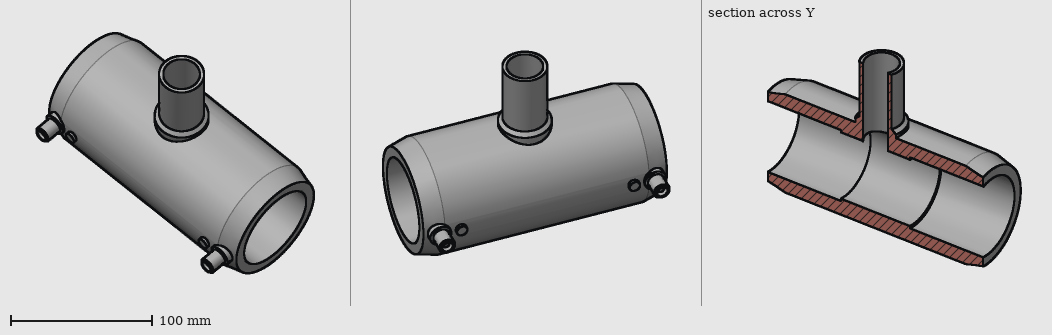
import cadquery as cq
import math

body_length = 185.5
body_diameter = 87.0
taper_length = 15.0
taper_angle = 15.0

socket_diameter = 63.0
stop_diameter = 59.22
socket_depth = 63.0

branch_top_z = 96.5
branch_diameter = 32.0
branch_bore_diameter = 26.0
saddle_diameter = 38.4
saddle_shoulder_z = 46.0

terminal_x = 81.75
collar_diameter = 16.0
collar_height = 1.75
collar_rise = 0.5
terminal_diameter = 12.0
terminal_height = 15.0
terminal_chamfer = 1.0
terminal_hole_diameter = 8.0
terminal_hole_depth = 12.0
contact_diameter = 5.0
contact_recess = 2.5
contact_chamfer = 0.5
indicator_x = 65.75
indicator_diameter = 8.0
indicator_height = 2.5

body_radius = body_diameter / 2
socket_radius = socket_diameter / 2
root_radius = (body_radius + socket_radius) / 2


def make_sleeve():
    """Solid sleeve with a conical taper at both ends."""
    half_length = body_length / 2
    straight_half = half_length - taper_length
    end_radius = body_radius - taper_length * math.tan(math.radians(taper_angle))
    profile = [
        (-half_length, 0),
        (-half_length, end_radius),
        (-straight_half, body_radius),
        (straight_half, body_radius),
        (half_length, end_radius),
        (half_length, 0),
    ]
    return cq.Workplane("XY").polyline(profile).close().revolve(360, (0, 0, 0), (1, 0, 0))


def make_sleeve_bore():
    """Through bore at the stop diameter, widened to a socket at each end."""
    bore = cq.Workplane("YZ").circle(stop_diameter / 2).extrude(body_length / 2, both=True)
    for face_x, direction in ((-body_length / 2, 1), (body_length / 2, -1)):
        socket = (
            cq.Workplane("YZ", origin=(face_x, 0, 0))
            .circle(socket_radius)
            .extrude(direction * socket_depth)
        )
        bore = bore.union(socket)
    return bore


def make_branch():
    """Branch pipe rising from a wider saddle with a 45 degree shoulder."""
    saddle_radius = saddle_diameter / 2
    branch_radius = branch_diameter / 2
    shoulder_top_z = saddle_shoulder_z + saddle_radius - branch_radius
    profile = [
        (0, 0),
        (saddle_radius, 0),
        (saddle_radius, saddle_shoulder_z),
        (branch_radius, shoulder_top_z),
        (branch_radius, branch_top_z),
        (0, branch_top_z),
    ]
    return cq.Workplane("XZ").polyline(profile).close().revolve(360, (0, 0, 0), (0, 1, 0))


def make_branch_bore():
    """Hole down the branch, opening into the sleeve bore."""
    return cq.Workplane("XY").circle(branch_bore_diameter / 2).extrude(branch_top_z)


def pin(x, diameter, start_radius, end_radius):
    """Cylinder along -Y between two distances from the sleeve axis."""
    return (
        cq.Workplane("XZ", origin=(x, -start_radius, 0))
        .circle(diameter / 2)
        .extrude(end_radius - start_radius)
    )


def make_collar(x):
    """Round collar whose outer face is a shallow cone rising from its rim to the terminal."""
    rim = body_radius + collar_height
    profile = [
        (0, -root_radius),
        (collar_diameter / 2, -root_radius),
        (collar_diameter / 2, -rim),
        (terminal_diameter / 2, -rim - collar_rise),
        (0, -rim - collar_rise),
    ]
    collar = cq.Workplane("XY").polyline(profile).close().revolve(360, (0, 0, 0), (0, 1, 0))
    return collar.translate((x, 0, 0))


def make_terminal(x):
    """Hollow terminal with a recessed contact pin, rising from a collar."""
    tip = body_radius + terminal_height
    hole_floor = tip - terminal_hole_depth
    shell = pin(x, terminal_diameter, root_radius, tip).faces("<Y").chamfer(terminal_chamfer)
    hole = pin(x, terminal_hole_diameter, hole_floor, tip)
    contact = pin(x, contact_diameter, root_radius, tip - contact_recess)
    contact = contact.faces("<Y").chamfer(contact_chamfer)
    return make_collar(x).union(shell).cut(hole).union(contact)


def make_indicator(x):
    """Small round fusion indicator standing on the sleeve."""
    return pin(x, indicator_diameter, root_radius, body_radius + indicator_height)


result = make_sleeve().union(make_branch())
result = result.cut(make_sleeve_bore()).cut(make_branch_bore())
for side in (-1, 1):
    result = result.union(make_indicator(side * indicator_x))
    result = result.union(make_terminal(side * terminal_x))